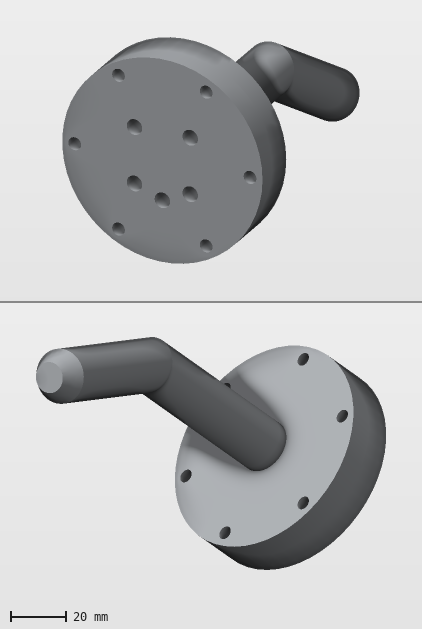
import cadquery as cq
import math

disc_diameter = 80.0
plate_thickness = 10.0
rod_diameter = 20.0
total_length = 153.6
bend_angle = 30.0
arm_length = 70.5
taper_length = 7.5
taper_angle = 30.0

bolt_hole_diameter = 5.0
bolt_circle_diameter = 70.0
bolt_count = 6
pocket_hole_diameter = 6.1
pocket_hole_spacing = 22.3
lower_hole_drop = 15.7

rod_radius = rod_diameter / 2
tip_radius = rod_radius - taper_length * math.tan(math.radians(taper_angle))
bend_cos = math.cos(math.radians(bend_angle))
bend_sin = math.sin(math.radians(bend_angle))
bend_y = total_length - arm_length * bend_cos - tip_radius * bend_sin
flange_back_y = 2 * plate_thickness


def face_plane(y):
    """Plane across the disc axis at y, with its normal along +Y and local y along -Z."""
    return cq.Workplane(cq.Plane(origin=(0, y, 0), xDir=(1, 0, 0), normal=(0, 1, 0)))


def make_disc(start_y):
    """Round plate with the ring of through bolt holes."""
    disc = face_plane(start_y).circle(disc_diameter / 2).extrude(plate_thickness)
    bolt_holes = (
        face_plane(start_y)
        .polarArray(bolt_circle_diameter / 2, 0, 360, bolt_count)
        .circle(bolt_hole_diameter / 2)
        .extrude(plate_thickness)
    )
    return disc.cut(bolt_holes)


def make_base_plate():
    """Front disc with a square of four holes and one lower hole."""
    half_spacing = pocket_hole_spacing / 2
    centers = [(x, z) for x in (-half_spacing, half_spacing) for z in (-half_spacing, half_spacing)]
    centers.append((0, lower_hole_drop))
    holes = face_plane(0).pushPoints(centers).circle(pocket_hole_diameter / 2).extrude(plate_thickness)
    return make_disc(0).cut(holes)


def make_bent_rod():
    """Straight rod mitred into a tilted arm with a tapered tip."""
    path = (
        cq.Workplane("YZ")
        .moveTo(flange_back_y, 0)
        .lineTo(bend_y, 0)
        .lineTo(bend_y + arm_length * bend_cos, -arm_length * bend_sin)
    )
    rod = face_plane(flange_back_y).circle(rod_radius).sweep(path, transition="right")
    taper_depth = rod_radius - tip_radius
    return rod.faces(">Y").chamfer(taper_length, taper_depth)


def make_handle():
    """Rear disc and bent rod as one solid."""
    return make_disc(plate_thickness).union(make_bent_rod())


base_plate = make_base_plate()
handle = make_handle()

result = cq.Compound.makeCompound([base_plate.val(), handle.val()])